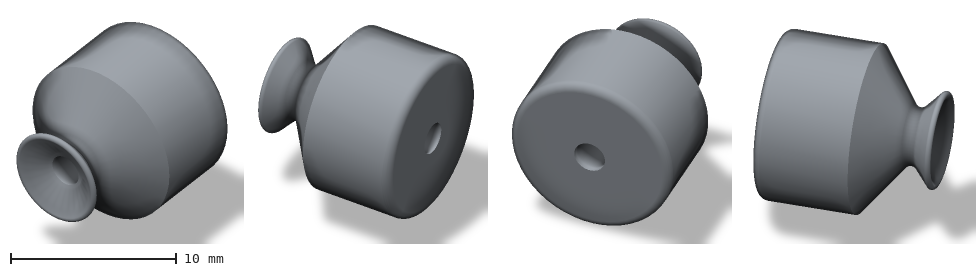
import cadquery as cq
import math

length = 10.52
body_radius = 5.25
bore_radius = 1.0

body_length = 6.0
rear_round = 0.5

neck_radius = 1.8
neck_round = 0.5
neck_from_front = 1.64

lip_radius = 3.03
lip_round = 0.2
mouth_half_angle = math.radians(59)

front_y = -length / 2
rear_y = length / 2
shoulder = (body_radius, rear_y - body_length)
neck_centre = (neck_radius + neck_round, front_y + neck_from_front)
lip_centre = (lip_radius - lip_round, front_y + lip_round)


def on_circle(centre, radius, angle):
    """Profile point (radius, y) on a circle; the angle starts at the outward direction."""
    return (
        centre[0] + radius * math.cos(angle),
        centre[1] + radius * math.sin(angle),
    )


def direction(start, end):
    """Angle of the line from start to end."""
    return math.atan2(end[1] - start[1], end[0] - start[0])


shoulder_distance = math.dist(neck_centre, shoulder)
cone_angle = direction(neck_centre, shoulder) + math.acos(neck_round / shoulder_distance)
cone_end = on_circle(neck_centre, neck_round, cone_angle)
neck_bottom = (neck_radius, neck_centre[1])

rim_distance = math.dist(neck_centre, lip_centre)
tangent_turn = math.acos((neck_round + lip_round) / rim_distance)
flare_angle = direction(neck_centre, lip_centre) - tangent_turn
flare_start = on_circle(neck_centre, neck_round, flare_angle)
flare_end = on_circle(lip_centre, lip_round, flare_angle + math.pi)

rim_front = (lip_centre[0], front_y)
mouth_start = on_circle(lip_centre, lip_round, math.pi + mouth_half_angle)
mouth_depth = (mouth_start[0] - bore_radius) / math.tan(mouth_half_angle)
mouth_end = (bore_radius, mouth_start[1] + mouth_depth)

rear_centre = (body_radius - rear_round, rear_y - rear_round)
rear_mid = on_circle(rear_centre, rear_round, math.pi / 4)

profile = (
    cq.Workplane("XY")
    .moveTo(bore_radius, rear_y)
    .lineTo(rear_centre[0], rear_y)
    .threePointArc(rear_mid, (body_radius, rear_centre[1]))
    .lineTo(*shoulder)
    .lineTo(*cone_end)
    .threePointArc(neck_bottom, flare_start)
    .lineTo(*flare_end)
    .threePointArc(rim_front, mouth_start)
    .lineTo(*mouth_end)
    .close()
)

result = profile.revolve(360, (0, 0, 0), (0, 1, 0))